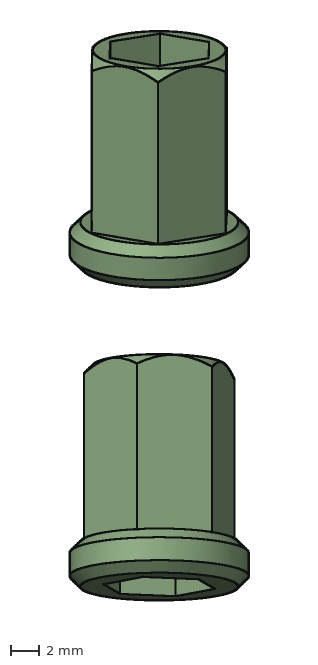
import cadquery as cq
import math

total_height = 15.88
flange_diameter = 12.7
flange_height = 3.18
flange_chamfer = 0.76
hex_across_flats = 9.5
socket_across_flats = 7.0
top_face_diameter = 9.4


def hex_prism(across_flats, height):
    """Hexagonal prism standing on Z = 0 with two corners on the Y axis."""
    across_corners = across_flats / math.cos(math.pi / 6)
    prism = cq.Workplane("XY").polygon(6, across_corners).extrude(height)
    return prism.rotate((0, 0, 0), (0, 0, 1), 90)


def corner_chamfer_envelope():
    """Cylinder with a 45 degree top chamfer that trims the hexagon corners."""
    envelope_radius = flange_diameter / 2
    chamfer = envelope_radius - top_face_diameter / 2
    envelope = cq.Workplane("XY").circle(envelope_radius).extrude(total_height)
    return envelope.faces(">Z").chamfer(chamfer)


flange = cq.Workplane("XY").circle(flange_diameter / 2).extrude(flange_height)
flange = flange.faces("<Z or >Z").chamfer(flange_chamfer)

body = hex_prism(hex_across_flats, total_height).intersect(corner_chamfer_envelope())

socket = hex_prism(socket_across_flats, total_height)

result = flange.union(body).cut(socket)